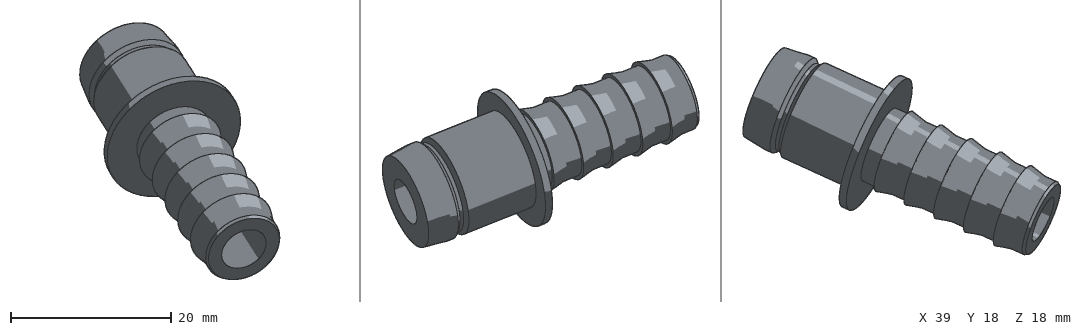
import cadquery as cq
import math

total_length = 39.0
flange_start = 15.0
flange_thickness = 1.0
flange_end = flange_start + flange_thickness
flange_radius = 18.0 / 2
bore_radius = 6.0 / 2

plug_radius = 13.0 / 2
lead_in_length = 3.0
lead_in_angle = 7.0
groove_start = 4.0
groove_depth = 0.5
groove_floor_width = 0.5

tail_radius = 10.0 / 2
barb_radius = 11.0 / 2
barb_count = 5
tail_step = (total_length - flange_end) / (2 * barb_count + 1)
tip_chamfer_length = 0.38
tip_chamfer_angle = 30.0


def make_plug():
    """Plug from its front face to the flange."""
    face_radius = plug_radius - lead_in_length * math.tan(math.radians(lead_in_angle))
    floor_radius = plug_radius - groove_depth
    floor_start = groove_start + groove_depth
    floor_end = floor_start + groove_floor_width
    groove_end = floor_end + groove_depth
    profile = [
        (0, 0),
        (0, face_radius),
        (lead_in_length, plug_radius),
        (groove_start, plug_radius),
        (floor_start, floor_radius),
        (floor_end, floor_radius),
        (groove_end, plug_radius),
        (flange_start, plug_radius),
        (flange_start, 0),
    ]
    return revolve_about_x(profile)


def make_flange():
    return cq.Workplane("YZ", origin=(flange_start, 0, 0)).circle(flange_radius).extrude(flange_thickness)


def make_hose_tail():
    """Tail with sharp barbs that taper down towards the chamfered tip."""
    profile = [(flange_end, 0), (flange_end, tail_radius)]
    for index in range(barb_count):
        barb_start = flange_end + (2 * index + 1) * tail_step
        profile += [
            (barb_start, tail_radius),
            (barb_start, barb_radius),
            (barb_start + tail_step, tail_radius),
        ]
    tip_radius = tail_radius - tip_chamfer_length * math.tan(math.radians(tip_chamfer_angle))
    profile += [
        (total_length - tip_chamfer_length, tail_radius),
        (total_length, tip_radius),
        (total_length, 0),
    ]
    return revolve_about_x(profile)


def make_bore():
    return cq.Workplane("YZ").circle(bore_radius).extrude(total_length)


def revolve_about_x(profile):
    """Solid of revolution from a closed (x, radius) outline."""
    return cq.Workplane("XZ").polyline(profile).close().revolve(360, (0, 0, 0), (1, 0, 0))


result = make_plug().union(make_flange()).union(make_hose_tail()).cut(make_bore())